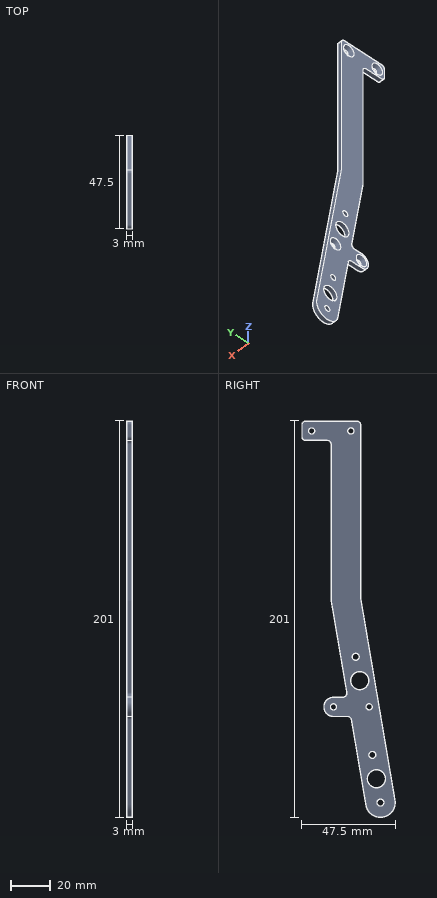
import cadquery as cq
import math

height = 201.0
depth = 47.5
thickness = 3.0

strap_width = 15.0
half_width = strap_width / 2
bend_z = 110.5
head_length = 30.0
flange_height = 9.9
head_corner_radius = 2.0
head_inner_radius = 2.0

tab_z = 56.1
tab_root_radius = 2.0

small_hole_diameter = 3.5
large_hole_diameter = 9.0
hole_offset = 12.3
hole_pitch = 50.5
screw_hole_diameter = 3.0
countersink_diameter = 7.2
countersink_angle = 90
head_hole_inset = 5.0
arm_screw_u = -4.2
tab_screw_u = 13.9

end_u = head_length - depth + half_width
end_z = half_width
tilt = math.atan2(half_width - end_u, bend_z - end_z)
miter_drop = half_width * math.tan(tilt / 2)


def on_lower_arm(along, across=0.0):
    """Point on the lower arm, measured from the centre of its round end."""
    u = end_u + along * math.sin(tilt) + across * math.cos(tilt)
    z = end_z + along * math.cos(tilt) - across * math.sin(tilt)
    return u, z


def plate(sketch):
    """Extrude a sketch through the full thickness."""
    return sketch.extrude(thickness)


def new_sketch():
    """Sketch plane on the +X face, extruding toward the countersunk -X face."""
    plane = cq.Plane(origin=(thickness / 2, 0, 0), xDir=(0, -1, 0), normal=(-1, 0, 0))
    return cq.Workplane(plane)


def make_strap():
    outline = (
        new_sketch()
        .moveTo(0, height)
        .lineTo(head_length, height)
        .lineTo(head_length, height - flange_height)
        .lineTo(strap_width, height - flange_height)
        .lineTo(strap_width, bend_z - miter_drop)
        .lineTo(*on_lower_arm(0, half_width))
        .threePointArc(on_lower_arm(-half_width), on_lower_arm(0, -half_width))
        .lineTo(0, bend_z + miter_drop)
        .close()
    )
    return plate(outline)


def make_tab():
    """Round-ended tab, starting at the centreline of the lower arm."""
    root_u = on_lower_arm((tab_z - end_z) / math.cos(tilt))[0]
    half_height = flange_height / 2
    outline = (
        new_sketch()
        .moveTo(root_u, tab_z + half_height)
        .lineTo(tab_screw_u, tab_z + half_height)
        .threePointArc((tab_screw_u + half_height, tab_z), (tab_screw_u, tab_z - half_height))
        .lineTo(root_u, tab_z - half_height)
        .close()
    )
    return plate(outline)


def round_corners(body, points, radius):
    """Round the through-thickness edges at the given (u, z) points."""
    for u, z in points:
        corner = cq.selectors.NearestToPointSelector((0, -u, z))
        body = body.edges("|X").edges(corner).fillet(radius)
    return body


def right_edge_u(z):
    """Position of the lower arm's -Y edge at height z."""
    return end_u + (z - end_z) * math.tan(tilt) + half_width / math.cos(tilt)


def drill(target, points, diameter):
    return target.cut(plate(new_sketch().pushPoints(points).circle(diameter / 2)))


body = make_strap().union(make_tab())

head_bottom = height - flange_height
head_corners = [(0, height), (head_length, height), (head_length, head_bottom)]
tab_levels = [tab_z - flange_height / 2, tab_z + flange_height / 2]
body = round_corners(body, head_corners, head_corner_radius)
body = round_corners(body, [(strap_width, head_bottom)], head_inner_radius)
body = round_corners(body, [(right_edge_u(z), z) for z in tab_levels], tab_root_radius)

small_holes = [0, 2 * hole_offset, 2 * hole_offset + hole_pitch]
large_holes = [hole_offset, hole_offset + hole_pitch]
body = drill(body, [on_lower_arm(along) for along in small_holes], small_hole_diameter)
body = drill(body, [on_lower_arm(along) for along in large_holes], large_hole_diameter)

head_hole_z = height - head_hole_inset
screw_holes = [(u, head_hole_z) for u in (head_hole_inset, head_length - head_hole_inset)]
screw_holes += [(u, tab_z) for u in (arm_screw_u, tab_screw_u)]
body = (
    body.copyWorkplane(new_sketch().workplane(offset=thickness))
    .pushPoints(screw_holes)
    .cskHole(screw_hole_diameter, countersink_diameter, countersink_angle)
)

result = body.translate((0, head_length - depth / 2, -height / 2))